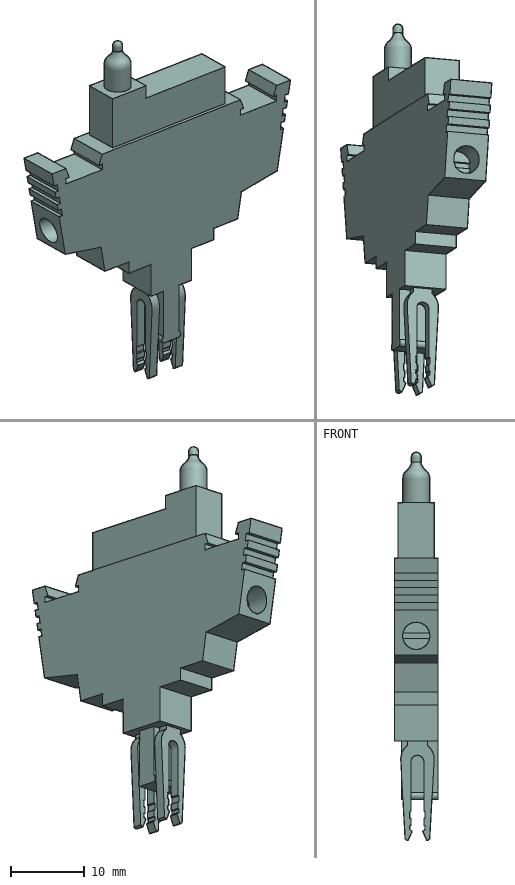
import cadquery as cq


thickness = 6.0
length = 42.35
half_length = length / 2
housing_top = 38.45
flank_bottom = 25.25
flank_bottom_y = 18.85
belly_y = 12.5
belly_z = 24.2
step_1_y = 11.8
step_1_z = 20.2
step_2_y = 7.55
step_2_z = 18.45
foot_half_length = 3.6
foot_bottom = 13.55

recess_floor = 36.1
hook_bottom = 36.9
recess_outer_y = 18.75
recess_inner_y = 12.25
hook_overhang = 0.6

notch_count = 3
notch_pitch = 2.0
notch_height = 1.0
notch_depth = 0.6
first_notch_top = 36.45

screw_radius = 1.85
screw_z = 27.9
screw_face_y = 16.0
slot_width = 0.8
slot_depth = 0.55

block_thickness = 4.95
block_half_length = 10.0
block_low_top = 44.1
block_high_top = 46.0
block_step_y = -4.05

pin_y = -7.05
pin_radius = 1.85
pin_shoulder_z = 49.35
cone_base_radius = 1.45
cone_base_z = 50.3
cone_top_radius = 0.6
tip_radius = 0.7
tip_base_z = 51.6
pin_top = 52.9

tongue_min_x = -2.0
tongue_half_width = 1.4
tongue_bottom = 5.55
bead_height = 0.95
bead_bulge = 0.25

fork_x = 0.15
fork_inner_y = 1.65
fork_width = 1.3
fork_slot_width = 1.75
fork_slot_radius = fork_slot_width / 2
fork_slot_arc_z = 10.75
fork_neck_width = 2.7
fork_shoulder_z = 12.95
fork_half_width = 2.3
fork_shoulder_end_z = 10.9
groove_gap = 2.05
barb_gap = 1.45


def flank_y(z):
    """Distance of the sloping end face from the middle plane at height z."""
    slope = (half_length - flank_bottom_y) / (housing_top - flank_bottom)
    return flank_bottom_y + slope * (z - flank_bottom)


def housing_plate():
    half_outline = [
        (recess_inner_y, housing_top),
        (recess_inner_y + hook_overhang, hook_bottom),
        (recess_inner_y, hook_bottom),
        (recess_inner_y, recess_floor),
        (recess_outer_y, recess_floor),
        (recess_outer_y, hook_bottom),
        (recess_outer_y - hook_overhang, hook_bottom),
        (recess_outer_y, housing_top),
        (half_length, housing_top),
    ]
    for i in range(notch_count):
        top = first_notch_top - i * notch_pitch
        bottom = top - notch_height
        half_outline += [
            (flank_y(top), top),
            (flank_y(top) - notch_depth, top),
            (flank_y(bottom) - notch_depth, bottom),
            (flank_y(bottom), bottom),
        ]
    half_outline += [
        (flank_bottom_y, flank_bottom),
        (belly_y, belly_z),
        (step_1_y, step_1_z),
        (step_2_y, step_1_z),
        (step_2_y, step_2_z),
        (foot_half_length, step_2_z),
        (foot_half_length, foot_bottom),
    ]
    other_half = [(-y, z) for y, z in reversed(half_outline)]
    return (
        cq.Workplane("YZ", origin=(-thickness / 2, 0, 0))
        .polyline(half_outline + other_half)
        .close()
        .extrude(thickness)
    )


def screw_cylinder(inner_y):
    """Cylinder of the screw hole, from inner_y out through the +Y end."""
    return (
        cq.Workplane("XZ", origin=(0, half_length, screw_z))
        .circle(screw_radius)
        .extrude(half_length - inner_y)
    )


def screw_hole():
    """Material to remove at the +Y end: the hole and the slot of the screw."""
    slot_floor_y = screw_face_y - slot_depth
    slot_bar = (
        cq.Workplane("XY")
        .box(thickness, slot_depth, slot_width)
        .translate((0, slot_floor_y + slot_depth / 2, screw_z))
    )
    slot = screw_cylinder(slot_floor_y).intersect(slot_bar)
    return screw_cylinder(screw_face_y).union(slot)


def top_block():
    return (
        cq.Workplane("YZ")
        .moveTo(-block_half_length, housing_top)
        .lineTo(block_half_length, housing_top)
        .lineTo(block_half_length, block_low_top)
        .lineTo(block_step_y, block_low_top)
        .lineTo(block_step_y, block_high_top)
        .lineTo(-block_half_length, block_high_top)
        .close()
        .extrude(block_thickness / 2, both=True)
    )


def pin():
    dome_base_z = pin_top - tip_radius
    shoulder_mid = (1.75, 49.9)
    flare_mid = (0.9, 50.9)
    dome_mid = (tip_radius * 0.5**0.5, dome_base_z + tip_radius * 0.5**0.5)
    return (
        cq.Workplane("XZ", origin=(0, pin_y, 0))
        .moveTo(0, block_high_top)
        .lineTo(pin_radius, block_high_top)
        .lineTo(pin_radius, pin_shoulder_z)
        .threePointArc(shoulder_mid, (cone_base_radius, cone_base_z))
        .threePointArc(flare_mid, (cone_top_radius, tip_base_z))
        .lineTo(tip_radius, tip_base_z)
        .lineTo(tip_radius, dome_base_z)
        .threePointArc(dome_mid, (0, pin_top))
        .close()
        .revolve(360, (0, 0, 0), (0, 1, 0))
    )


def tongue():
    bead_top = tongue_bottom + bead_height
    bead_mid_z = tongue_bottom + bead_height / 2
    bead_y = tongue_half_width + bead_bulge
    return (
        cq.Workplane("YZ", origin=(tongue_min_x, 0, 0))
        .moveTo(-tongue_half_width, foot_bottom)
        .lineTo(-tongue_half_width, bead_top)
        .threePointArc((-bead_y, bead_mid_z), (-tongue_half_width, tongue_bottom))
        .lineTo(tongue_half_width, tongue_bottom)
        .threePointArc((bead_y, bead_mid_z), (tongue_half_width, bead_top))
        .lineTo(tongue_half_width, foot_bottom)
        .close()
        .extrude(thickness / 2 - tongue_min_x)
    )


def half_fork():
    """The +X half of the fork on the -Y side; the slot and its teeth face the fork centre."""
    shoulder_mid = (2.0, 12.15)
    slot_diagonal = fork_slot_radius * 0.5**0.5
    outer_tip = (1.7, 0.2)
    inner_edge = [
        (1.45, 0),
        (1.25, 0),
        (barb_gap / 2, 1.2),
        (groove_gap / 2, 1.55),
        (groove_gap / 2, 2.0),
        (fork_slot_radius, 2.05),
        (fork_slot_radius, 2.95),
        (groove_gap / 2, 3.05),
        (groove_gap / 2, 3.9),
        (fork_slot_radius, 4.0),
        (fork_slot_radius, fork_slot_arc_z),
    ]
    outline = (
        cq.Workplane("XZ", origin=(0, -fork_inner_y, 0))
        .moveTo(0, foot_bottom)
        .lineTo(fork_neck_width / 2, foot_bottom)
        .lineTo(fork_neck_width / 2, fork_shoulder_z)
        .threePointArc(shoulder_mid, (fork_half_width, fork_shoulder_end_z))
        .lineTo(*outer_tip)
    )
    for point in inner_edge:
        outline = outline.lineTo(*point)
    return (
        outline
        .threePointArc(
            (slot_diagonal, fork_slot_arc_z + slot_diagonal),
            (0, fork_slot_arc_z + fork_slot_radius),
        )
        .close()
        .extrude(fork_width)
    )


def fork():
    half = half_fork()
    return half.union(half.mirror("YZ")).translate((fork_x, 0, 0))


end_hole = screw_hole()
end_fork = fork()

result = (
    housing_plate()
    .cut(end_hole)
    .cut(end_hole.mirror("XZ"))
    .union(top_block())
    .union(pin())
    .union(tongue())
    .union(end_fork)
    .union(end_fork.mirror("XZ"))
)